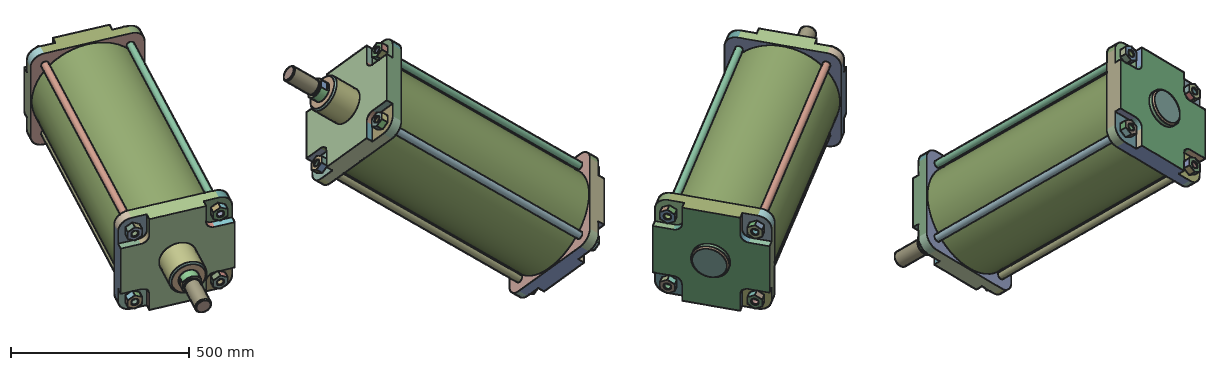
import cadquery as cq
import math

total_length = 1052.0
boss_length = 17.0
cap_length = 55.0
barrel_length = 708.0
neck_length = 92.0

rear_cap_start = boss_length
barrel_start = rear_cap_start + cap_length
front_cap_start = barrel_start + barrel_length
neck_start = front_cap_start + cap_length
neck_end = neck_start + neck_length

cap_width = 340.0
cap_corner_radius = 40.0
pocket_size = 85.0
pocket_depth = 22.0
pocket_corner_radius = 25.0
hub_radius = 56.0
hub_chamfer = 5.0

barrel_radius = 166.0

tie_offset = 127.0
tie_radius = 12.0
nut_across_flats = 43.0
nut_across_corners = nut_across_flats / math.cos(math.pi / 6)
nut_hole_radius = 9.0
nut_hole_chamfer = 2.0
rear_pocket_start = rear_cap_start
front_pocket_start = neck_start - pocket_depth
tie_start = rear_pocket_start + pocket_depth
tie_length = front_pocket_start - tie_start

rod_radius = 30.0
collar_length = 6.0
flats_length = 22.0
flats_width = 55.0
undercut_radius = 23.0
undercut_length = 5.0
thread_radius = 24.0
thread_chamfer = 3.0

corner_signs = [(1, 1), (1, -1), (-1, 1), (-1, -1)]


def cylinder_x(start, length, radius, y=0.0, z=0.0):
    """Cylinder along X that begins at the given X."""
    return cq.Workplane("YZ", origin=(start, y, z)).circle(radius).extrude(length)


def make_cap(plate_start, pocket_start, hub_start, hub_length, chamfered_side):
    """Square end cap with four corner pockets, a round hub and tie rod holes."""
    cap = (
        cq.Workplane("YZ", origin=(plate_start, 0, 0))
        .rect(cap_width, cap_width)
        .extrude(cap_length)
        .edges("|X")
        .fillet(cap_corner_radius)
    )
    cap_corner = cap_width / 2
    pocket = (
        cq.Workplane("YZ", origin=(pocket_start, 0, 0))
        .rect(2 * pocket_size, 2 * pocket_size)
        .extrude(pocket_depth)
        .edges("|X")
        .fillet(pocket_corner_radius)
    )
    for y_sign, z_sign in corner_signs:
        cap = cap.cut(pocket.translate((0, y_sign * cap_corner, z_sign * cap_corner)))
        hole = cylinder_x(plate_start, cap_length, tie_radius, y_sign * tie_offset, z_sign * tie_offset)
        cap = cap.cut(hole)
    hub = cylinder_x(hub_start, hub_length, hub_radius).faces(chamfered_side).chamfer(hub_chamfer)
    return cap.union(hub)


def make_rear_cap():
    return make_cap(rear_cap_start, rear_pocket_start, 0.0, boss_length, "<X")


def make_front_cap():
    cap = make_cap(front_cap_start, front_pocket_start, neck_start, neck_length, ">X")
    rod_bore = cylinder_x(front_cap_start, cap_length + neck_length, rod_radius)
    return cap.cut(rod_bore)


def make_barrel():
    return cylinder_x(barrel_start, barrel_length, barrel_radius)


def make_nut(start, y, z, outer_face):
    """Hexagon nut, corners pointing along Z, with a chamfered hole down to the tie rod's end."""
    blank = (
        cq.Workplane("YZ", origin=(start, y, z))
        .polygon(6, nut_across_corners)
        .extrude(pocket_depth)
        .rotate((0, y, z), (1, y, z), 90)
    )
    nut = blank.cut(cylinder_x(start, pocket_depth, nut_hole_radius, y, z))
    return nut.faces(outer_face).edges("%CIRCLE").chamfer(nut_hole_chamfer)


def make_tie_rod(y, z):
    """Tie rod from pocket floor to pocket floor, in one piece with the nut at each end."""
    tie_rod = cylinder_x(tie_start, tie_length, tie_radius, y, z)
    rear_nut = make_nut(rear_pocket_start, y, z, "<X")
    front_nut = make_nut(front_pocket_start, y, z, ">X")
    return tie_rod.union(rear_nut).union(front_nut)


def make_piston_rod():
    """Rod through the front cap, with two wrench flats, an undercut and a threaded end."""
    flats_start = neck_end + collar_length
    flats_end = flats_start + flats_length
    undercut_end = flats_end + undercut_length
    rod = cylinder_x(front_cap_start, flats_end - front_cap_start, rod_radius)
    outside_flats = (
        cq.Workplane("XY")
        .box(flats_length, 2 * rod_radius, 2 * rod_radius)
        .cut(cq.Workplane("XY").box(flats_length, flats_width, 2 * rod_radius))
        .translate((flats_start + flats_length / 2, 0, 0))
    )
    undercut = cylinder_x(flats_end, undercut_length, undercut_radius)
    thread_length = total_length - undercut_end
    thread = cylinder_x(undercut_end, thread_length, thread_radius).faces(">X").chamfer(thread_chamfer)
    return rod.cut(outside_flats).union(undercut).union(thread)


rear_cap = make_rear_cap()
front_cap = make_front_cap()
barrel = make_barrel()
piston_rod = make_piston_rod()
tie_rods = [make_tie_rod(y_sign * tie_offset, z_sign * tie_offset) for y_sign, z_sign in corner_signs]

result = cq.Compound.makeCompound(
    [rear_cap.val(), front_cap.val(), barrel.val(), piston_rod.val(), *[rod.val() for rod in tie_rods]]
)